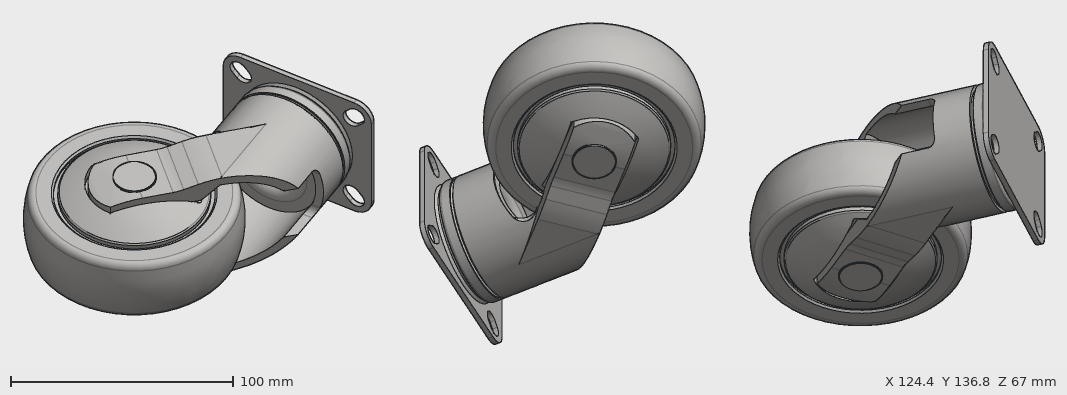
import cadquery as cq
import math


wheel_radius = 50.0
wheel_x = -35.9
wheel_y = wheel_radius - 136.8
face_z = 16.0
face_radius = 44.3
shoulder_radius = 48.2
shoulder_z = 13.1
shoulder_bulge = 1.0
rim_radius = 37.4
rim_chamfer = 1.0
groove_depth = 2.0
dome_base_radius = 34.5
dome_radius = 33.8
dome_z = 16.7
dome_sphere_radius = 68.4

plate_length = 77.0
plate_width = 67
plate_thickness = 2.5
plate_corner_radius = 9.0
slot_x = 29.4
slot_z = 24.4
slot_width = 8.8
slot_length = 12.0
slot_angle = 45

housing_radius = 29.4
neck_top_radius = 28.7
neck_radius = 27.6
upper_taper_end = 3.8
lower_taper_end = 11.2
ring_top = 4.9
ring_bottom = 10.5
ring_round = 1.2
housing_top = 12.2

bore_radius = 25.3
bore_floor = 27.4
hub_hole_radius = 13.7
hub_hole_round = 5.7
hub_hole_top = 12.3
well_radius = 54.3
well_edge_radius = 51.6
well_z = 21.3
window_width = 28.6
window_top = 29.5
window_corner_radius = 3.8

scallop_radius = 7.5
scallop_x = -24.6
scallop_y = -43.8
scallop_slope = 28

arm_angle = 45
arm_width = 29.0
arm_end_radius = 20.8
arm_inner_z = 18.0
arm_hub_z = 26
arm_tip_radius = 58.5
bend_start = 14.2
bend_angle = 13
bend_hub_radius = 21.9
bend_housing_radius = 50.0
ramp_start = 27.4
ramp_end = 36.1
axle_head_radius = 9.6
axle_head_z = 26.3
axle_groove_width = 0.4
axle_groove_depth = 0.5

recess_gap = 1.5

far = 164.2


def axle_cylinder(radius, z_start, z_end):
    """Cylinder on the wheel axis."""
    disc = cq.Workplane("XY", origin=(wheel_x, wheel_y, z_start)).circle(radius)
    return disc.extrude(z_end - z_start)


def swivel_cylinder(radius, depth_start, depth_end):
    """Cylinder on the swivel axis, between two depths below the plate's outer face."""
    disc = cq.Workplane("XZ", origin=(0, -depth_start, 0)).circle(radius)
    return disc.extrude(depth_end - depth_start)


def arm_plane():
    """Plane through the wheel axis, with x along the arms and y along Z."""
    along = (math.cos(math.radians(arm_angle)), math.sin(math.radians(arm_angle)), 0)
    across = (along[1], -along[0], 0)
    return cq.Workplane(cq.Plane(origin=(wheel_x, wheel_y, 0), xDir=along, normal=across))


def arm_strip(width, end_radius, z_start, z_end):
    """Straight strip along an arm, with an end rounded about the wheel axis."""
    height = z_end - z_start
    middle_z = (z_start + z_end) / 2
    strip = arm_plane().center(0, middle_z).rect(2 * far, height).extrude(width / 2, both=True)
    beyond_axis = arm_plane().center(far / 2, middle_z).rect(far, height).extrude(far, both=True)
    return strip.intersect(beyond_axis.union(axle_cylinder(end_radius, z_start, z_end)))


def both_sides(body):
    return body.union(body.mirror("XY"))



def make_wheel():
    dome_centre_z = dome_z - math.sqrt(dome_sphere_radius**2 - dome_radius**2)
    dome_top_z = dome_centre_z + dome_sphere_radius
    dome_mid_radius = dome_radius / 2
    dome_mid_z = dome_centre_z + math.sqrt(dome_sphere_radius**2 - dome_mid_radius**2)

    chord_r = shoulder_radius - face_radius
    chord_z = face_z - shoulder_z
    chord = math.hypot(chord_r, chord_z)
    shoulder_mid = (
        (shoulder_radius + face_radius) / 2 + shoulder_bulge * chord_z / chord,
        (shoulder_z + face_z) / 2 + shoulder_bulge * chord_r / chord,
    )
    groove_z = face_z - groove_depth

    profile = (
        cq.Workplane("XZ")
        .moveTo(0, -dome_top_z)
        .threePointArc((dome_mid_radius, -dome_mid_z), (dome_radius, -dome_z))
        .lineTo(dome_base_radius, -face_z)
        .lineTo(dome_base_radius, -groove_z)
        .lineTo(rim_radius - rim_chamfer, -groove_z)
        .lineTo(rim_radius - rim_chamfer, rim_chamfer - face_z)
        .lineTo(rim_radius, -face_z)
        .lineTo(face_radius, -face_z)
        .threePointArc((shoulder_mid[0], -shoulder_mid[1]), (shoulder_radius, -shoulder_z))
        .threePointArc((wheel_radius, 0), (shoulder_radius, shoulder_z))
        .threePointArc(shoulder_mid, (face_radius, face_z))
        .lineTo(rim_radius, face_z)
        .lineTo(rim_radius - rim_chamfer, face_z - rim_chamfer)
        .lineTo(rim_radius - rim_chamfer, groove_z)
        .lineTo(dome_base_radius, groove_z)
        .lineTo(dome_base_radius, face_z)
        .lineTo(dome_radius, dome_z)
        .threePointArc((dome_mid_radius, dome_mid_z), (0, dome_top_z))
        .close()
    )
    solid = profile.revolve(360, (0, 0, 0), (0, 1, 0)).translate((wheel_x, wheel_y, 0))
    recess_width = arm_width + 2 * recess_gap
    recess = arm_strip(recess_width, arm_end_radius + recess_gap, arm_inner_z, dome_top_z + 1.4)
    return solid.cut(both_sides(recess))



def make_plate():
    plate = cq.Workplane("XZ").rect(plate_length, plate_width).extrude(plate_thickness)
    plate = plate.edges("|Y").fillet(plate_corner_radius)
    for side_x in (1, -1):
        for side_z in (1, -1):
            slot = (
                cq.Workplane("XZ")
                .center(side_x * slot_x, side_z * slot_z)
                .slot2D(slot_length, slot_width, side_x * side_z * slot_angle)
                .extrude(plate_thickness)
            )
            plate = plate.cut(slot)
    return plate


def neck_taper(depth_start, depth_end):
    """Cone that narrows to the neck."""
    wide_end = cq.Workplane("XZ", origin=(0, -depth_start, 0)).circle(neck_top_radius)
    return wide_end.workplane(offset=depth_end - depth_start).circle(neck_radius).loft()


def make_neck():
    stem = swivel_cylinder(neck_radius, plate_thickness, housing_top)
    stem = stem.union(neck_taper(plate_thickness, upper_taper_end))
    stem = stem.union(neck_taper(ring_bottom, lower_taper_end))
    ring = swivel_cylinder(housing_radius, ring_top, ring_bottom).edges(">Y").fillet(ring_round)
    return stem.union(ring)


def make_scallop():
    slope = math.radians(scallop_slope)
    tangent_x = scallop_x + scallop_radius * math.sin(slope)
    tangent_y = scallop_y + scallop_radius * math.cos(slope)
    outside_x = -2 * housing_radius
    outside_y = tangent_y + (tangent_x - outside_x) * math.tan(slope)
    bottom_y = scallop_y - scallop_radius
    outline = (
        cq.Workplane("XY")
        .moveTo(outside_x, outside_y)
        .lineTo(tangent_x, tangent_y)
        .threePointArc((scallop_x + scallop_radius, scallop_y), (scallop_x, bottom_y))
        .lineTo(outside_x, bottom_y)
        .close()
    )
    return outline.extrude(far, both=True)


def make_housing():
    shell = swivel_cylinder(housing_radius, housing_top, far)
    keep = arm_plane().workplane(offset=arm_width / 2).rect(2 * far, far).extrude(-far)
    arm_band = arm_plane().rect(2 * far, far).extrude(arm_width / 2, both=True)
    wheel_side = cq.Workplane("XY").center(-far, 0).rect(2 * far, 2 * far).extrude(far, both=True)
    return shell.intersect(keep).cut(arm_band.intersect(wheel_side)).cut(make_scallop())


def make_window():
    """Round-cornered opening in the wall facing away from the wheel."""
    window = (
        cq.Workplane("YZ")
        .center(-window_top - far / 2, 0)
        .rect(far, window_width)
        .extrude(far)
    )
    return window.edges("|X and >Y").fillet(window_corner_radius)


def make_arm():
    angle = math.radians(bend_angle)
    sin_bend = math.sin(angle)
    drop_factor = 1 - math.cos(angle)
    sin_half = math.sin(angle / 2)
    half_drop_factor = 1 - math.cos(angle / 2)

    rise = housing_radius - arm_hub_z
    straight = (rise - (bend_hub_radius + bend_housing_radius) * drop_factor) / sin_bend
    lower_x = bend_start + bend_hub_radius * sin_bend
    lower_z = arm_hub_z + bend_hub_radius * drop_factor
    upper_x = lower_x + straight * math.cos(angle)
    upper_z = lower_z + straight * sin_bend
    bend_end = upper_x + bend_housing_radius * sin_bend

    tip_x = -arm_end_radius
    tip_mid_x = tip_x / 2
    tip_z = arm_hub_z - arm_tip_radius + math.sqrt(arm_tip_radius**2 - tip_x**2)
    tip_mid_z = arm_hub_z - arm_tip_radius + math.sqrt(arm_tip_radius**2 - tip_mid_x**2)

    side = (
        arm_plane()
        .moveTo(tip_x, arm_inner_z)
        .lineTo(tip_x, tip_z)
        .threePointArc((tip_mid_x, tip_mid_z), (0, arm_hub_z))
        .lineTo(bend_start, arm_hub_z)
        .threePointArc(
            (bend_start + bend_hub_radius * sin_half, arm_hub_z + bend_hub_radius * half_drop_factor),
            (lower_x, lower_z),
        )
        .lineTo(upper_x, upper_z)
        .threePointArc(
            (
                bend_end - bend_housing_radius * sin_half,
                housing_radius - bend_housing_radius * half_drop_factor,
            ),
            (bend_end, housing_radius),
        )
        .lineTo(far, housing_radius)
        .lineTo(far, arm_inner_z)
        .close()
    )
    blank = side.extrude(arm_width / 2, both=True)
    arm = blank.intersect(arm_strip(arm_width, arm_end_radius, arm_inner_z, housing_radius))
    past_axis = cq.Workplane("XY").center(far, 0).rect(2 * far, 2 * far).extrude(far)
    groove_radius = axle_head_radius + axle_groove_width
    groove = axle_cylinder(groove_radius, arm_hub_z - axle_groove_depth, axle_head_z)
    head = axle_cylinder(axle_head_radius, arm_inner_z, axle_head_z)
    return arm.cut(past_axis).cut(groove).union(head)


def make_hollow():
    """Space for the wheel: a bore and a wheel well, both bounded by the ramps of the arms."""
    bore = swivel_cylinder(bore_radius, bore_floor, far)
    well = (
        cq.Workplane("XZ")
        .moveTo(0, -well_z)
        .lineTo(well_edge_radius, -well_z)
        .threePointArc((well_radius, 0), (well_edge_radius, well_z))
        .lineTo(0, well_z)
        .close()
        .revolve(360, (0, 0, 0), (0, 1, 0))
        .translate((wheel_x, wheel_y, 0))
    )
    between_arms = (
        arm_plane()
        .moveTo(-far, arm_inner_z)
        .lineTo(ramp_start, arm_inner_z)
        .lineTo(ramp_end, bore_radius)
        .lineTo(far, bore_radius)
        .lineTo(far, -bore_radius)
        .lineTo(ramp_end, -bore_radius)
        .lineTo(ramp_start, -arm_inner_z)
        .lineTo(-far, -arm_inner_z)
        .close()
        .extrude(far, both=True)
    )
    return bore.union(well).intersect(between_arms)


def make_hub_hole():
    """Blind hole in the bore floor, with a rounded mouth."""
    mouth_radius = hub_hole_radius + hub_hole_round
    corner = hub_hole_round * (1 - math.sqrt(0.5))
    profile = (
        cq.Workplane("XY")
        .moveTo(0, -hub_hole_top)
        .lineTo(hub_hole_radius, -hub_hole_top)
        .lineTo(hub_hole_radius, hub_hole_round - bore_floor)
        .threePointArc(
            (hub_hole_radius + corner, corner - bore_floor),
            (mouth_radius, -bore_floor),
        )
        .lineTo(0, -bore_floor)
        .close()
    )
    return profile.revolve(360, (0, 0, 0), (0, 1, 0))


def make_fork():
    body = make_housing().union(both_sides(make_arm()))
    body = body.cut(make_hollow()).cut(make_window()).cut(make_hub_hole())
    return body.union(make_neck()).union(make_plate())


wheel = make_wheel()
fork = make_fork()

result = cq.Compound.makeCompound([wheel.val(), fork.val()])